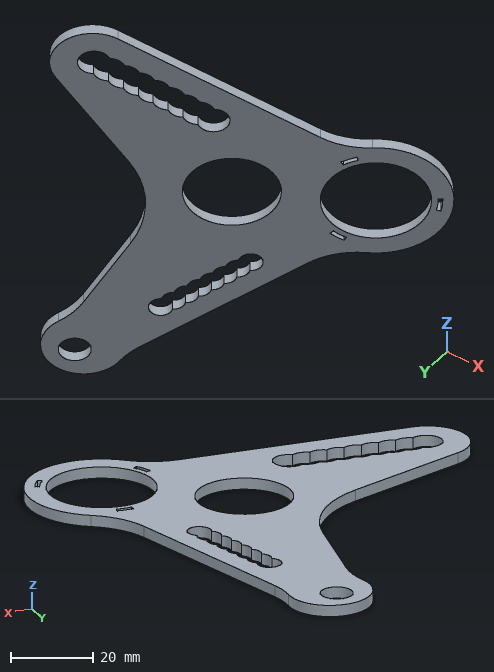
import cadquery as cq
import math

thickness = 3.0
pivot_diameter = 24.0

ring_center = (30.2, -18.0)
ring_radius = 19.0
ring_bore_diameter = 27.0
arc_slot_inner_radius = 15.1
arc_slot_outer_radius = 16.3
arc_slot_half_angle = 7.5
arc_slot_angles = (90, 210, 330)

end_radius = 10.5
left_end_center = (-54.7, ring_center[1])
tip_center = (3.1, 65.8)
tip_hole_center = (2.3, 68.5)
adjust_hole_diameter = 8.0

left_row_count = 9
left_row_start = (-54.5, -18.2)
left_row_length = 35.8
left_row_pitch = left_row_length / (left_row_count - 1)
right_row_start = (10.3, 43.8)
right_row_count = 8
right_row_pitch = 3.9
right_row_diameter = 6.0

right_edge_angle = -72.3
right_edge_point = (14.1, 60.0)
upper_left_edge_angle = 82.5
upper_left_edge_point = (-8.6, 33.8)
lower_left_edge_angle = 23.8

blend_radius = 20.0
elbow_radius = 30.0


def polar(center, radius, angle):
    a = math.radians(angle)
    return (center[0] + radius * math.cos(a), center[1] + radius * math.sin(a))


def crossing(p, p_angle, q, q_angle):
    """Intersection of two lines, each given by a point and an angle."""
    a, b = math.radians(p_angle), math.radians(q_angle)
    dx, dy = q[0] - p[0], q[1] - p[1]
    along = (dx * math.sin(b) - dy * math.cos(b)) / math.sin(b - a)
    return polar(p, along, p_angle)


def line_circle_corner(point, angle, center, radius, side):
    """Where a line meets a circle; side +1 or -1 picks the far or near crossing along the line."""
    a = math.radians(angle)
    dx, dy = center[0] - point[0], center[1] - point[1]
    along = dx * math.cos(a) + dy * math.sin(a)
    offset = dy * math.cos(a) - dx * math.sin(a)
    return polar(point, along + side * math.sqrt(radius**2 - offset**2), angle)


def disc(center, diameter):
    return cq.Workplane("XY").center(*center).circle(diameter / 2).extrude(thickness)


def hole_row(start, angle, pitch, count, diameter):
    centers = [polar(start, i * pitch, angle) for i in range(count)]
    row = disc(centers[0], diameter)
    for center in centers[1:]:
        row = row.union(disc(center, diameter))
    return row


def arc_slot(angle):
    first, last = angle - arc_slot_half_angle, angle + arc_slot_half_angle
    return (
        cq.Workplane("XY")
        .moveTo(*polar(ring_center, arc_slot_inner_radius, first))
        .lineTo(*polar(ring_center, arc_slot_outer_radius, first))
        .threePointArc(
            polar(ring_center, arc_slot_outer_radius, angle),
            polar(ring_center, arc_slot_outer_radius, last),
        )
        .lineTo(*polar(ring_center, arc_slot_inner_radius, last))
        .threePointArc(
            polar(ring_center, arc_slot_inner_radius, angle),
            polar(ring_center, arc_slot_inner_radius, first),
        )
        .close()
        .extrude(thickness)
    )


def blend(body, corner, radius):
    """Round the vertical edge standing on the given corner."""
    edge = cq.selectors.NearestToPointSelector((corner[0], corner[1], thickness / 2))
    return body.edges("|Z").edges(edge).fillet(radius)


def plate():
    bottom_tangent = polar(left_end_center, end_radius, -90)
    upper_tangent = polar(left_end_center, end_radius, 90 + lower_left_edge_angle)
    elbow = crossing(
        upper_tangent, lower_left_edge_angle, upper_left_edge_point, upper_left_edge_angle
    )
    ring_bottom_corner = line_circle_corner(bottom_tangent, 0, ring_center, ring_radius, -1)
    ring_right_corner = line_circle_corner(
        right_edge_point, right_edge_angle, ring_center, ring_radius, -1
    )
    tip_right_corner = line_circle_corner(
        right_edge_point, right_edge_angle, tip_center, end_radius, 1
    )
    tip_left_corner = line_circle_corner(
        upper_left_edge_point, upper_left_edge_angle, tip_center, end_radius, -1
    )
    web = [
        left_end_center,
        bottom_tangent,
        ring_bottom_corner,
        ring_center,
        ring_right_corner,
        tip_right_corner,
        tip_center,
        tip_left_corner,
        elbow,
        upper_tangent,
    ]
    body = cq.Workplane("XY").polyline(web).close().extrude(thickness)
    body = body.union(disc(ring_center, 2 * ring_radius))
    for center in (left_end_center, tip_center):
        body = body.union(disc(center, 2 * end_radius))
    for corner in (ring_bottom_corner, ring_right_corner, tip_right_corner, tip_left_corner):
        body = blend(body, corner, blend_radius)
    return blend(body, elbow, elbow_radius)


result = plate()
result = result.cut(disc((0, 0), pivot_diameter))
result = result.cut(disc(ring_center, ring_bore_diameter))
result = result.cut(disc(tip_hole_center, adjust_hole_diameter))
result = result.cut(
    hole_row(left_row_start, 0, left_row_pitch, left_row_count, adjust_hole_diameter)
)
result = result.cut(
    hole_row(right_row_start, right_edge_angle, right_row_pitch, right_row_count, right_row_diameter)
)
for slot_angle in arc_slot_angles:
    result = result.cut(arc_slot(slot_angle))